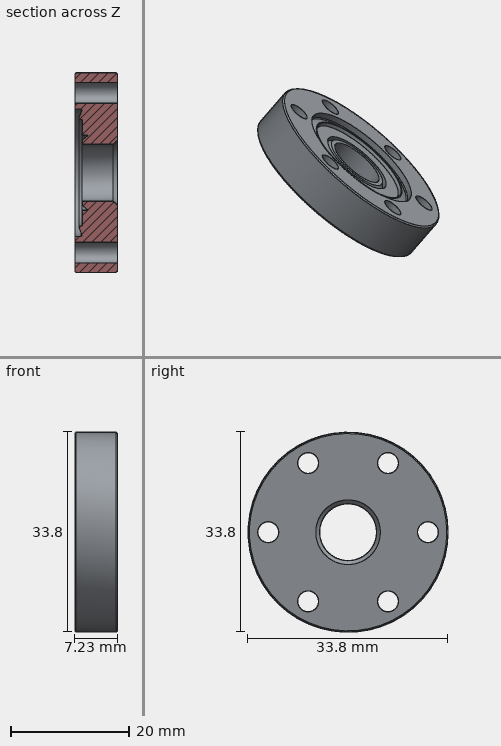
import cadquery as cq

flange_diameter = 33.78
flange_thickness = 7.23
rim_chamfer = 0.25
bore_diameter = 9.55
bore_exit_chamfer_depth = 0.78
bore_exit_chamfer_width = 0.68

bolt_count = 6
bolt_hole_diameter = 3.48
bolt_circle_diameter = 26.95

recess_radius = 10.75
recess_wall_depth = 1.0
ramp_foot_radius = 10.6
ramp_foot_depth = 1.2
knife_outer_radius = 9.25
knife_inner_radius = 9.1
knife_edge_depth = 0.68
floor_radius = 8.92
floor_depth = 1.25

groove_outer_radius = 6.3
groove_inner_radius = 5.55
groove_depth = 0.95


def flange_body():
    disc = cq.Workplane("YZ").circle(flange_diameter / 2).extrude(flange_thickness)
    return disc.edges().chamfer(rim_chamfer)


def sealing_recess():
    """Half section of the recess (depth along X, radius along Y) revolved about X."""
    section = [
        (0, 0),
        (0, recess_radius),
        (recess_wall_depth, recess_radius),
        (ramp_foot_depth, ramp_foot_radius),
        (knife_edge_depth, knife_outer_radius),
        (knife_edge_depth, knife_inner_radius),
        (floor_depth, floor_radius),
        (floor_depth, groove_outer_radius),
        (floor_depth + groove_depth, groove_outer_radius),
        (floor_depth, groove_inner_radius),
        (floor_depth, 0),
    ]
    return cq.Workplane("XY").polyline(section).close().revolve(360, (0, 0), (1, 0))


def through_holes():
    """Bore, chamfered where it leaves the back face, and the ring of bolt holes."""
    bore_radius = bore_diameter / 2
    bore_section = [
        (0, 0),
        (0, bore_radius),
        (flange_thickness - bore_exit_chamfer_depth, bore_radius),
        (flange_thickness, bore_radius + bore_exit_chamfer_width),
        (flange_thickness, 0),
    ]
    bore = cq.Workplane("XY").polyline(bore_section).close().revolve(360, (0, 0), (1, 0))
    bolts = (
        cq.Workplane("YZ")
        .polarArray(bolt_circle_diameter / 2, 0, 360, bolt_count)
        .circle(bolt_hole_diameter / 2)
        .extrude(flange_thickness)
    )
    return bore.union(bolts)


result = flange_body().cut(sealing_recess()).cut(through_holes())